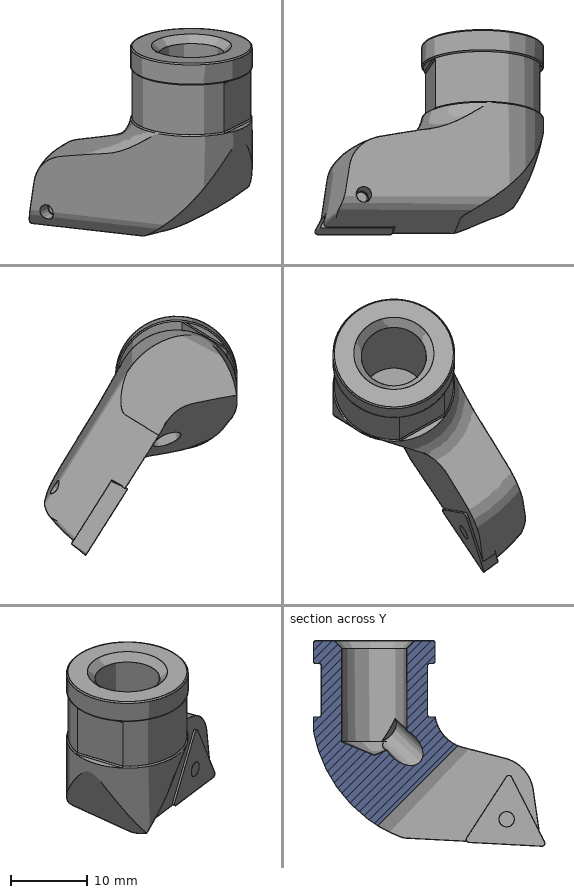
import cadquery as cq
import math


shank_radius = 8.0
edge_chamfer = 0.18
neck_radius = shank_radius - edge_chamfer
neck_height = 7.0
head_height = 3.0
shank_height = neck_height + head_height
flat_distance = 7.0
bore_radius = 4.25
bore_depth = 13.25
bore_tip_angle = 135.0
bore_chamfer = 1.0

throat_end = (11.6, -3.98)
slope_angle = 14.5
slope_end_radius = 17.18
nose_radius = 5.0
end_face_angle = 8.2
arm_bottom = -18.85

lead_angle = 3.0
clearance_angle = 7.0
underside_z = -15.75
side_rounding = 3.0
tip_rounding = 0.5
heel_center_x = -10.12
heel_center_z = 1.37
heel_radius = 18.42

arm_face_y = -0.3
back_face_angle = 45.0
back_face_offset = 9.55
back_rounding = 3.0
back_fillet = 6.0

overall_length = 30.4
overall_height = 27.0
insert_inradius = 3.15
insert_nose_radius = 0.4
insert_thickness = 2.37
pocket_taper = 2.5

screw_radius = 1.0
screw_length = 6.08
screw_chamfer = 0.2
screw_lift = 0.15

channel_radius = 1.95
channel_outlet_y = 1.9
channel_outlet_z = -5.38
channel_azimuth = 50.0
channel_rise = 31.0
channel_depth = 7.55

reach = 36.48


def sin_deg(angle):
    return math.sin(math.radians(angle))


def cos_deg(angle):
    return math.cos(math.radians(angle))


def tan_deg(angle):
    return math.tan(math.radians(angle))


def on_circle(center, radius, angle):
    """Point of a circle at an angle from the first axis."""
    return (center[0] + radius * cos_deg(angle), center[1] + radius * sin_deg(angle))


insert_tilt = 30 + lead_angle
insert_corner_center = (
    shank_radius - overall_length + insert_nose_radius,
    shank_height - overall_height + insert_nose_radius,
)
insert_center = on_circle(
    insert_corner_center, 2 * (insert_inradius - insert_nose_radius), insert_tilt
)


def turn(profile):
    """Turn a closed XZ profile about the shank axis."""
    return profile.close().revolve(360, (0, 0), (0, 1))


def make_shank():
    """Head and neck above the shoulder."""
    outline = [
        (0, 0),
        (shank_radius, 0),
        (neck_radius, edge_chamfer),
        (neck_radius, neck_height),
        (shank_radius, neck_height + edge_chamfer),
        (shank_radius, shank_height - edge_chamfer),
        (neck_radius, shank_height),
        (0, shank_height),
    ]
    shank = turn(cq.Workplane("XZ").polyline(outline))
    for side in (-1, 1):
        shank = shank.cut(make_flat_cutter(side))
    return shank


def make_flat_cutter(side):
    """Material removed by one neck flat, with a chamfer at its lower and upper end."""
    outer = side * shank_radius
    outline = [
        (outer, 0),
        (side * (flat_distance + edge_chamfer), 0),
        (side * flat_distance, edge_chamfer),
        (side * flat_distance, neck_height - edge_chamfer),
        (side * (flat_distance + edge_chamfer), neck_height),
        (outer, neck_height),
    ]
    return cq.Workplane("XZ").polyline(outline).close().extrude(shank_radius, both=True)


def make_bore():
    """Drilled bore with a conical bottom and a chamfered mouth."""
    rim_z = shank_height - bore_depth
    outline = [
        (0, rim_z - bore_radius / tan_deg(bore_tip_angle / 2)),
        (bore_radius, rim_z),
        (bore_radius, shank_height - bore_chamfer),
        (bore_radius + bore_chamfer, shank_height),
        (0, shank_height),
    ]
    return turn(cq.Workplane("XZ").polyline(outline))


def make_turned_arm():
    """Solid of revolution giving the throat, slope, nose and end face of the arm."""
    slope_length = slope_end_radius - throat_end[0]
    slope_end = (slope_end_radius, throat_end[1] - slope_length * tan_deg(slope_angle))
    slope_normal = 90 - slope_angle
    nose_center = on_circle(slope_end, -nose_radius, slope_normal)
    nose_mid = on_circle(nose_center, nose_radius, (slope_normal + end_face_angle) / 2)
    nose_end = on_circle(nose_center, nose_radius, end_face_angle)
    bottom_radius = nose_end[0] + (nose_end[1] - arm_bottom) * tan_deg(end_face_angle)
    profile = (
        cq.Workplane("XZ")
        .moveTo(0, arm_bottom)
        .lineTo(bottom_radius, arm_bottom)
        .lineTo(*nose_end)
        .threePointArc(nose_mid, slope_end)
        .lineTo(*throat_end)
        .tangentArcPoint((shank_radius, 0), relative=False)
        .lineTo(0, 0)
    )
    return turn(profile)


def make_section_bar():
    """Bar along the lead direction with a flat -Y side and a clearance-angled underside."""
    plane = cq.Plane(
        origin=(0, 0, underside_z),
        xDir=(0, 1, 0),
        normal=(cos_deg(lead_angle), 0, sin_deg(lead_angle)),
    )
    underside_rise = shank_radius * tan_deg(clearance_angle)
    outline = [
        (-shank_radius, underside_rise),
        (shank_radius, -underside_rise),
        (shank_radius, reach),
        (-shank_radius, reach),
    ]
    return cq.Workplane(plane).polyline(outline).close().extrude(reach, both=True)


def make_plan():
    """Plan outline: the shank circle and its tangent band towards -X."""
    base = cq.Workplane("XY", origin=(0, 0, arm_bottom))
    disc = base.circle(shank_radius).extrude(-arm_bottom)
    band = base.center(-reach / 2, 0).rect(reach, 2 * shank_radius).extrude(-arm_bottom)
    return disc.union(band)


def make_back_limit():
    """Space on the -Y side of the arm face, concave fillet, back face and its rounding."""
    plane = cq.Plane(origin=(0, 0, 0), xDir=(1, 0, 1), normal=(-1, 0, 1))
    bend = 1 - cos_deg(back_face_angle)
    fillet_end_y = arm_face_y + back_fillet * bend
    fillet_end = (fillet_end_y - back_face_offset, fillet_end_y)
    fillet_center = (
        fillet_end[0] - back_fillet * sin_deg(back_face_angle),
        arm_face_y + back_fillet,
    )
    rounding_start_y = shank_radius - back_rounding * bend
    rounding_start = (rounding_start_y - back_face_offset, rounding_start_y)
    rounding_center = (
        rounding_start[0] + back_rounding * sin_deg(back_face_angle),
        shank_radius - back_rounding,
    )
    half_angle = back_face_angle / 2
    return (
        cq.Workplane(plane)
        .moveTo(-reach, arm_face_y)
        .lineTo(fillet_center[0], arm_face_y)
        .threePointArc(on_circle(fillet_center, back_fillet, half_angle - 90), fillet_end)
        .lineTo(*rounding_start)
        .threePointArc(
            on_circle(rounding_center, back_rounding, half_angle + 90),
            (rounding_center[0], shank_radius),
        )
        .lineTo(reach, shank_radius)
        .lineTo(reach, -2 * shank_radius)
        .lineTo(-reach, -2 * shank_radius)
        .close()
        .extrude(reach, both=True)
    )


def make_heel_cutter():
    """Material outside the round heel, a cone about Y that widens towards +Y."""
    half_width = 1.5 * shank_radius
    widening = half_width * tan_deg(clearance_angle)
    cone = cq.Solid.makeCone(
        heel_radius - widening,
        heel_radius + widening,
        2 * half_width,
        cq.Vector(heel_center_x, -half_width, heel_center_z),
        cq.Vector(0, 1, 0),
    )
    corner = cq.Workplane("XY").box(reach, 2 * half_width, reach, centered=(False, True, False))
    corner = corner.translate((heel_center_x, 0, heel_center_z - reach))
    return corner.cut(cq.Workplane(cone))


def make_arm():
    """Arm below the shoulder, without pocket and holes."""
    bar = make_section_bar()
    arm = make_turned_arm().intersect(bar)
    tip_zone = cq.selectors.BoxSelector((-24.32, -6.08, -18.25), (-18.25, 6.08, -13.68))
    arm = arm.edges(tip_zone).fillet(tip_rounding)

    side_edge = cq.selectors.NearestToPointSelector((0, -shank_radius, underside_z))
    rounded_bar = bar.edges(side_edge).fillet(side_rounding)
    arm = arm.intersect(rounded_bar).intersect(make_plan()).intersect(make_back_limit())
    return arm.cut(make_heel_cutter())


def make_channel():
    """Coolant channel, started outside the back face so that its mouth is open."""
    outlet_x = (channel_outlet_y - back_face_offset) * math.sqrt(2) - channel_outlet_z
    outlet = cq.Vector(outlet_x, channel_outlet_y, channel_outlet_z)
    inward = cq.Vector(
        cos_deg(channel_rise) * cos_deg(channel_azimuth),
        -cos_deg(channel_rise) * sin_deg(channel_azimuth),
        sin_deg(channel_rise),
    )
    lead_in = 3 * channel_radius
    channel = cq.Solid.makeCylinder(
        channel_radius, lead_in + channel_depth, outlet - inward * lead_in, inward
    )
    return cq.Workplane(channel)


def make_insert_blank(taper):
    """Rounded triangle from the rake face towards -Y, with one edge along the lead angle."""
    corners = [
        on_circle((0, 0), 2 * insert_inradius, 180 + insert_tilt + turned)
        for turned in (0, 120, 240)
    ]
    triangle = cq.Sketch().polygon(corners + corners[:1]).vertices().fillet(insert_nose_radius)
    return (
        cq.Workplane("XZ", origin=(insert_center[0], 0, insert_center[1]))
        .placeSketch(triangle)
        .extrude(insert_thickness, taper=taper)
    )


def make_screw_rod(length):
    """Plain rod on the screw axis, from the rake face towards -Y."""
    axis_start = (insert_center[0], 0, insert_center[1] + screw_lift)
    return cq.Workplane("XZ", origin=axis_start).circle(screw_radius).extrude(length)


def make_holder():
    """Shank and arm in one piece, with bore, channel, insert pocket and screw hole."""
    holder = make_arm().union(make_shank())
    holder = holder.cut(make_bore()).cut(make_channel())
    holder = holder.cut(make_insert_blank(pocket_taper))
    return holder.cut(make_screw_rod(2 * shank_radius))


def make_insert():
    """Cutting insert with its screw hole."""
    return make_insert_blank(clearance_angle).cut(make_screw_rod(insert_thickness))


def make_screw():
    """Clamping screw, flush with the rake face and chamfered at its recessed end."""
    return make_screw_rod(screw_length).faces("<Y").chamfer(screw_chamfer)


holder = make_holder()
insert = make_insert()
screw = make_screw()

result = cq.Compound.makeCompound(
    [*holder.solids().vals(), *insert.solids().vals(), *screw.solids().vals()]
)